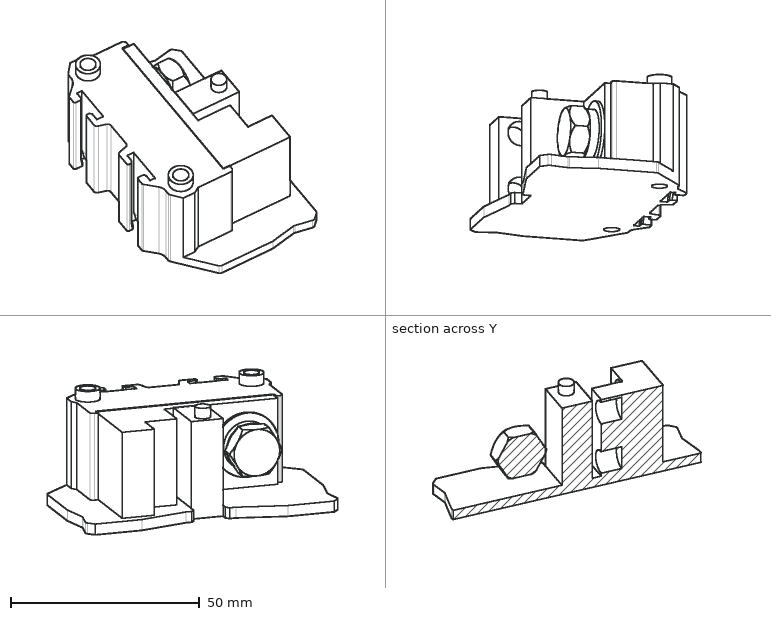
import cadquery as cq
import math

plate_thickness = 3.0
body_top = 26.9
pin_rise = 2.9
bar_recess = 0.2
bar_top = body_top - bar_recess

plate_half_width = 36.0
plate_back = 41.0
plate_side_front = 9.2
plate_side_back = 25.6
waist_half_width = 34.4
waist_y = 33.3
shoulder_half_width = 35.5
shoulder_y = 38.95
back_corner_half_width = 33.55
back_slope_half_width = 20.5
notch_lip_y = 37.9
notch_slope_end = 7.0
notch_chamfer = 0.9

body_half_width = 27.05
body_foot_half_width = 28.1
body_back = 19.05
body_flare_back = 7.9
body_flare_front = 6.2
seat_half_width = 25.0

outer_foot_front = -4.0
outer_foot_outside = 18.15
inner_foot_front = -3.7
inner_foot_inside = 5.6
inner_foot_root = 4.5
foot_slope_root = outer_foot_outside - outer_foot_front

slot_outside = 18.15
slot_inside = 7.5
slot_mouth_outside = 15.55
slot_mouth_inside = 10.4
outer_lip_y = -1.55
inner_lip_y = -2.0
slot_draft_shift = 0.5
outer_lip_chamfer = 0.4
inner_lip_chamfer = 0.6
mouth_middle = 13.0
slot_overcut = 1.0

block_half_width = 4.45
block_back = 35.1
pin_diameter = 4.2
pin_y = 31.5
boss_diameter = 6.6
boss_hole_diameter = 4.2
boss_x = 23.0
boss_y = 5.0

bar_half_length = 24.95
bar_end_gap = 0.15
bar_front = 17.1
bar_back = 20.6
step_x = 6.95
step_back = 30.6
tower_x = 15.9
tower_back = 38.1

clamp_hole_diameter = 6.6
clamp_hole_depth = 6.0
step_hole_y = 24.6
tower_hole_y = 32.3
clamp_hole_offset = 7.65

bar_middle_z = (plate_thickness + bar_top) / 2
bolt_x = -16.0
washer_diameter = 17.7
washer_thickness = 0.9
collar_diameter = 13.2
collar_thickness = 2.4
hex_across_flats = 12.8
hex_height = 5.4
hex_sides = 6

tip_radius = 0.5
flank_radius = 1.0
foot_slope_radius = 3.0
corner_radius = 1.0


def mirrored(left_points):
    """Close a left-hand outline with its mirror image in the YZ plane."""
    return left_points + [(-x, y) for x, y in reversed(left_points)]


def prism(points, bottom, top):
    return cq.Workplane("XY").workplane(offset=bottom).polyline(points).close().extrude(top - bottom)


def block(x_min, x_max, y_min, y_max, z_min, z_max):
    size = (x_max - x_min, y_max - y_min, z_max - z_min)
    return cq.Workplane("XY").box(*size, centered=False).translate((x_min, y_min, z_min))


def round_upright_edges(solid, left_points, radius, z):
    """Round the upright edges through the given points and their mirror images."""
    for x, y in mirrored(left_points):
        edge = cq.selectors.NearestToPointSelector((x, y, z))
        solid = solid.edges("|Z").edges(edge).fillet(radius)
    return solid


foot_contour = [
    (-seat_half_width, 0),
    (-foot_slope_root, 0),
    (-outer_foot_outside, outer_foot_front),
    (-mouth_middle, outer_foot_front),
    (-mouth_middle, inner_foot_front),
    (-inner_foot_inside, inner_foot_front),
    (-inner_foot_root, 0),
]


def make_plate():
    shoulder = (-shoulder_half_width, shoulder_y)
    waist = (-waist_half_width, waist_y)
    side_corner = (-plate_half_width, plate_side_front)
    outline = [
        (-block_half_width, block_back),
        (-block_half_width, notch_lip_y - notch_chamfer),
        (-block_half_width - notch_chamfer, notch_lip_y),
        (-notch_slope_end, notch_lip_y),
        (-back_slope_half_width, plate_back),
        (-back_corner_half_width, plate_back),
        shoulder,
        waist,
        (-plate_half_width, plate_side_back),
        side_corner,
    ] + foot_contour
    plate = prism(mirrored(outline), 0, plate_thickness)
    return round_upright_edges(plate, [shoulder, waist, side_corner], corner_radius, plate_thickness / 2)


def make_body():
    side_slope = plate_side_front / (plate_half_width - seat_half_width)
    side_front = side_slope * (body_foot_half_width - seat_half_width)
    back_corner = (-body_half_width, body_back)
    outline = [
        back_corner,
        (-body_half_width, body_flare_back),
        (-body_foot_half_width, body_flare_front),
        (-body_foot_half_width, side_front),
    ] + foot_contour
    body = prism(mirrored(outline), plate_thickness, body_top)
    body = round_upright_edges(body, [back_corner], corner_radius, (plate_thickness + body_top) / 2)
    pocket_left = -bar_half_length - bar_end_gap
    pocket = block(pocket_left, bar_half_length, bar_front, body_back, plate_thickness, body_top)
    return body.cut(pocket)


def slot_outline(draft):
    """Left rail slot; the draft draws the sides and lips in by the same amount."""
    outside = -slot_outside + draft
    inside = -slot_inside - draft
    outer_lip = outer_lip_y + draft
    inner_lip = inner_lip_y + draft
    mouth_end = outer_foot_front - slot_overcut
    return [
        (outside, draft),
        (outside, outer_lip),
        (-slot_mouth_outside - outer_lip_chamfer, outer_lip),
        (-slot_mouth_outside, outer_lip - outer_lip_chamfer),
        (-slot_mouth_outside, mouth_end),
        (-slot_mouth_inside, mouth_end),
        (-slot_mouth_inside, inner_lip - inner_lip_chamfer),
        (-slot_mouth_inside + inner_lip_chamfer, inner_lip),
        (inside, inner_lip),
        (inside, draft),
    ]


def make_slot():
    """Slot tool: straight through the body, tapering through the plate thickness."""
    straight = prism(slot_outline(0), plate_thickness, body_top)
    tapered = (
        cq.Workplane("XY")
        .polyline(slot_outline(slot_draft_shift))
        .close()
        .workplane(offset=plate_thickness)
        .polyline(slot_outline(0))
        .close()
        .loft(ruled=True)
    )
    return straight.union(tapered)


def make_bar():
    outline = [
        (-bar_half_length, bar_front),
        (bar_half_length, bar_front),
        (bar_half_length, tower_back),
        (tower_x, tower_back),
        (tower_x, step_back),
        (step_x, step_back),
        (step_x, bar_back),
        (-bar_half_length, bar_back),
    ]
    bar = prism(outline, plate_thickness, bar_top)
    for face_x, y in ((step_x, step_hole_y), (tower_x, tower_hole_y)):
        for z_offset in (-clamp_hole_offset, clamp_hole_offset):
            hole = (
                cq.Workplane("YZ", origin=(face_x, y, bar_middle_z + z_offset))
                .circle(clamp_hole_diameter / 2)
                .extrude(clamp_hole_depth)
            )
            bar = bar.cut(hole)
    return bar


def bolt_disc(y_start, thickness, diameter):
    disc = cq.Workplane("XZ", origin=(bolt_x, y_start, bar_middle_z)).circle(diameter / 2)
    return disc.extrude(-thickness)


def make_bolt():
    collar_start = bar_back + washer_thickness
    hex_start = collar_start + collar_thickness
    washer = bolt_disc(bar_back, washer_thickness, washer_diameter)
    collar = bolt_disc(collar_start, collar_thickness, collar_diameter)
    corner_diameter = hex_across_flats / math.cos(math.pi / hex_sides)
    head = (
        cq.Workplane("XZ", origin=(bolt_x, hex_start, bar_middle_z))
        .polygon(hex_sides, corner_diameter)
        .extrude(-hex_height)
    )
    corner_chamfer = (corner_diameter - hex_across_flats) / 2
    turned = bolt_disc(hex_start, hex_height, corner_diameter).edges().chamfer(corner_chamfer)
    return washer.union(collar).union(head.intersect(turned))


def make_pin_block():
    pin_block = block(-block_half_width, block_half_width, bar_back, block_back, 0, body_top)
    pin = cq.Workplane("XY").center(0, pin_y).circle(pin_diameter / 2).extrude(body_top + pin_rise)
    return pin_block.union(pin)


def upright_pair(diameter):
    """Two full-height cylinders on the mounting hole centres."""
    centres = [(-boss_x, boss_y), (boss_x, boss_y)]
    return cq.Workplane("XY").pushPoints(centres).circle(diameter / 2).extrude(body_top + pin_rise)


def round_feet(part):
    middle_z = body_top / 2
    part = round_upright_edges(part, [(-foot_slope_root, 0)], foot_slope_radius, middle_z)
    flank_points = [(-inner_foot_inside, inner_foot_front), (-inner_foot_root, 0)]
    part = round_upright_edges(part, flank_points, flank_radius, middle_z)
    seat_points = [(-seat_half_width, 0)]
    part = round_upright_edges(part, seat_points, corner_radius, middle_z)
    tip_points = [
        (-outer_foot_outside, outer_foot_front),
        (-slot_mouth_outside, outer_foot_front),
        (-slot_mouth_inside, inner_foot_front),
    ]
    return round_upright_edges(part, tip_points, tip_radius, middle_z)


slot = make_slot()
housing = make_plate().union(make_body()).cut(slot).cut(slot.mirror("YZ")).clean()
housing = round_feet(housing)
result = housing.union(make_bar()).union(make_bolt()).union(make_pin_block())
result = result.union(upright_pair(boss_diameter)).cut(upright_pair(boss_hole_diameter))